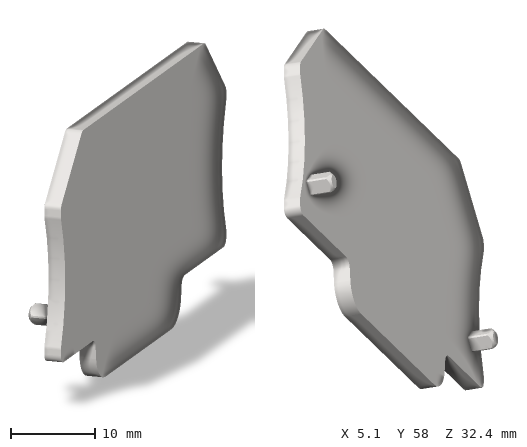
import cadquery as cq
import math

plate_thickness = 2.1
plate_width = 58.0
plate_height = 32.35
half_width = plate_width / 2
top_chamfer = 7.5
corner_radius = 1.0

tongue_center_y = -1.75
tongue_height = 5.5
tongue_root_half_width = 15.2
tongue_draft = 7.0
tongue_root_radius = 1.1
tongue_tip_radius = 3.4
tongue_tip_half_width = tongue_root_half_width - tongue_height * math.tan(math.radians(tongue_draft))

scallop_radius = 22.0
scallop_depth = 1.5
scallop_center_z = tongue_height + 9.9
scallop_half_chord = math.sqrt(scallop_radius**2 - (scallop_radius - scallop_depth) ** 2)

pin_length = 3.0
pin_side = 2.0
pin_diameter = 2.6
pin_tip_chamfer = 0.5
pin_spacing = 51.0
pin_center_y = 0.12
pin_z = tongue_height + 4.85


def edges_near_height(z, reach_y):
    """Selector for edges whose center is near height z and within reach_y of Y = 0."""
    margin = corner_radius / 2
    return cq.selectors.BoxSelector(
        (-margin, -reach_y, z - margin), (plate_thickness + margin, reach_y, z + margin)
    )


def make_plate():
    """Plate with rounded corners, side scallops and the lower tongue."""
    shoulder_z = plate_height - top_chamfer
    blank = (
        cq.Workplane("YZ")
        .moveTo(tongue_center_y - tongue_tip_half_width, 0)
        .lineTo(tongue_center_y + tongue_tip_half_width, 0)
        .lineTo(tongue_center_y + tongue_root_half_width, tongue_height)
        .lineTo(half_width, tongue_height)
        .lineTo(half_width, scallop_center_z - scallop_half_chord)
        .threePointArc(
            (half_width - scallop_depth, scallop_center_z),
            (half_width, scallop_center_z + scallop_half_chord),
        )
        .lineTo(half_width, shoulder_z)
        .lineTo(half_width - top_chamfer, plate_height)
        .lineTo(-half_width + top_chamfer, plate_height)
        .lineTo(-half_width, shoulder_z)
        .lineTo(-half_width, scallop_center_z + scallop_half_chord)
        .threePointArc(
            (-half_width + scallop_depth, scallop_center_z),
            (-half_width, scallop_center_z - scallop_half_chord),
        )
        .lineTo(-half_width, tongue_height)
        .lineTo(tongue_center_y - tongue_root_half_width, tongue_height)
        .close()
        .extrude(plate_thickness)
    )
    tongue_root = edges_near_height(tongue_height, half_width - corner_radius)
    tongue_tip = edges_near_height(0, half_width)
    plate_corners = cq.selectors.ParallelDirSelector(cq.Vector(1, 0, 0)) - tongue_root - tongue_tip
    plate = blank.edges(plate_corners).fillet(corner_radius)
    plate = plate.edges("|X").edges(tongue_root).fillet(tongue_root_radius)
    return plate.edges("|X").edges(tongue_tip).fillet(tongue_tip_radius)


def make_pin(center_y):
    """Pin standing on the -X face of the plate."""
    base = cq.Workplane("YZ", origin=(0, center_y, pin_z))
    square = base.transformed(rotate=(0, 0, 45)).rect(pin_side, pin_side).extrude(-pin_length)
    envelope = base.circle(pin_diameter / 2).extrude(-pin_length).faces("<X").chamfer(pin_tip_chamfer)
    return square.intersect(envelope)


result = make_plate()
for side in (-1, 1):
    result = result.union(make_pin(pin_center_y + side * pin_spacing / 2))